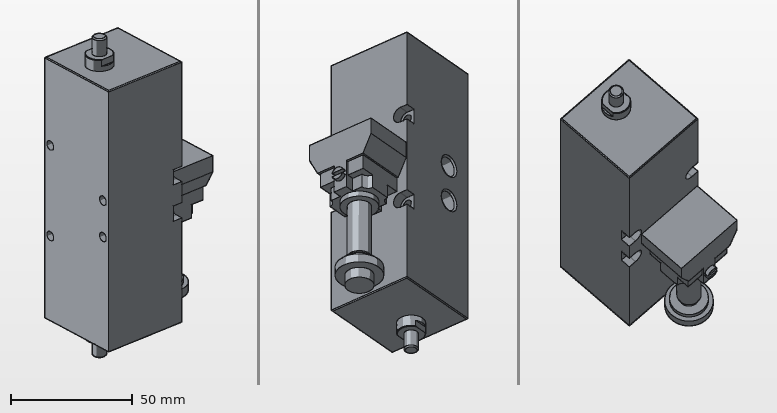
import cadquery as cq

OVERALL_HEIGHT = 148.0
BLOCK_WIDTH = 40.0
BLOCK_HEIGHT = 121.4
BLOCK_CHAMFER = 0.5
BACK_Y = BLOCK_WIDTH / 2
LEFT_X = -BLOCK_WIDTH / 2

STUD_Y = -7.5
STUD_DIAMETER = 6.0
STUD_CHAMFER = 0.6
COLLAR_DIAMETER = 12.0
COLLAR_HEIGHT = 5.3
COLLAR_CHAMFER = 0.3
FLATS_WIDTH = 10.0
FLATS_HEIGHT = 3.0

MOUNT_DIAMETER = 4.1
MOUNT_X = 16.5
MOUNT_Z_LEFT = 21.0
MOUNT_Z_RIGHT = 8.5
SLOT_WIDTH = 7.1
SLOT_DEPTH = 4.6

PORT_Y = STUD_Y
PORT_Z = 8.5
PORT_DIAMETER = 8.6
PORT_MOUTH_DIAMETER = 10.0
PORT_DEPTH = 11.8

ACTUATOR_LEFT_X = -19.5
ACTUATOR_WIDTH = 32.4
ACTUATOR_X = ACTUATOR_LEFT_X + ACTUATOR_WIDTH / 2
ACTUATOR_DEPTH = 23.1
ACTUATOR_BACK_Y = BACK_Y + ACTUATOR_DEPTH

ACTUATOR_TOP_Z = 6.0
SLOPE_TOP_Z = -1.5
SLOPE_BOTTOM_Z = -9.5
NECK_BLOCK_BOTTOM_Z = -16.1
ACTUATOR_BOTTOM_Z = -22.3

SLOPE_END_WIDTH = 24.0
NECK_BLOCK_WIDTH = 22.5
NECK_BLOCK_SETBACK = 1.0
CORE_WIDTH = 6.5
SCOOP_RADIUS = 3.1

PLUNGER_X = -3.7
PLUNGER_Y = 31.0
FLANGE_DIAMETER = 16.0
ROD_DIAMETER = 10.0
GROOVE_DIAMETER = 8.0
DISC_DIAMETER = 20.0
KNOB_DIAMETER = 12.0
PLUNGER_STEPS = [
    (FLANGE_DIAMETER, -24.9),
    (ROD_DIAMETER, -49.7),
    (GROOVE_DIAMETER, -52.7),
    (FLANGE_DIAMETER, -54.6),
    (DISC_DIAMETER, -58.6),
    (KNOB_DIAMETER, -63.5),
]

SCREW_DIAMETER = 5.6
SCREW_PROTRUSION = 1.9
SCREW_SLOT_WIDTH = 1.6
SCREW_Z = -15.2


def cylinder(diameter, length, base, direction):
    """Cylinder that starts at base and runs along direction."""
    solid = cq.Solid.makeCylinder(diameter / 2, length, cq.Vector(*base), cq.Vector(*direction))
    return cq.Workplane(solid)


def box(x_range, y_range, z_range):
    """Axis-aligned box between the given coordinate pairs."""
    (x0, x1), (y0, y1), (z0, z1) = x_range, y_range, z_range
    return cq.Workplane(cq.Solid.makeBox(x1 - x0, y1 - y0, z1 - z0, cq.Vector(x0, y0, z0)))


def end_stud():
    """Stud and flatted collar standing on the top face of the block."""
    base_z = BLOCK_HEIGHT / 2
    collar_top_z = base_z + COLLAR_HEIGHT
    collar = cylinder(COLLAR_DIAMETER, COLLAR_HEIGHT, (0, STUD_Y, base_z), (0, 0, 1))
    collar = collar.faces(">Z").chamfer(COLLAR_CHAMFER)
    flats_z = (collar_top_z - FLATS_HEIGHT, collar_top_z)
    collar_y = (STUD_Y - COLLAR_DIAMETER / 2, STUD_Y + COLLAR_DIAMETER / 2)
    for x_range in (
        (-COLLAR_DIAMETER / 2, -FLATS_WIDTH / 2),
        (FLATS_WIDTH / 2, COLLAR_DIAMETER / 2),
    ):
        collar = collar.cut(box(x_range, collar_y, flats_z))
    stud_length = (OVERALL_HEIGHT - BLOCK_HEIGHT) / 2
    stud = cylinder(STUD_DIAMETER, stud_length, (0, STUD_Y, base_z), (0, 0, 1))
    stud = stud.faces(">Z").chamfer(STUD_CHAMFER)
    return collar.union(stud)


def mounting_hole(side, z):
    """Through hole along Y with a round-ended slot at the back, open to the given X side."""
    x = side * MOUNT_X
    slot_floor_y = BACK_Y - SLOT_DEPTH
    hole = cylinder(MOUNT_DIAMETER, BLOCK_WIDTH, (x, -BACK_Y, z), (0, 1, 0))
    slot_end = cylinder(SLOT_WIDTH, SLOT_DEPTH, (x, slot_floor_y, z), (0, 1, 0))
    slot_mouth = box(
        sorted((x, side * BLOCK_WIDTH / 2)),
        (slot_floor_y, BACK_Y),
        (z - SLOT_WIDTH / 2, z + SLOT_WIDTH / 2),
    )
    return hole.union(slot_end).union(slot_mouth)


def port(z):
    """Blind port with a 45-degree chamfered mouth in the left side of the block."""
    bore_radius = PORT_DIAMETER / 2
    mouth_radius = PORT_MOUTH_DIAMETER / 2
    chamfer = mouth_radius - bore_radius
    bore = cylinder(PORT_DIAMETER, PORT_DEPTH, (LEFT_X, PORT_Y, z), (1, 0, 0))
    mouth = cq.Solid.makeCone(
        mouth_radius, bore_radius, chamfer, cq.Vector(LEFT_X, PORT_Y, z), cq.Vector(1, 0, 0)
    )
    return bore.union(cq.Workplane(mouth))


def make_valve_block():
    block = cq.Workplane().box(BLOCK_WIDTH, BLOCK_WIDTH, BLOCK_HEIGHT)
    block = block.faces("<Z or >Z").chamfer(BLOCK_CHAMFER)
    stud = end_stud()
    block = block.union(stud).union(stud.mirror("XY"))
    for side, hole_z in ((-1, MOUNT_Z_LEFT), (1, MOUNT_Z_RIGHT)):
        for z in (-hole_z, hole_z):
            block = block.cut(mounting_hole(side, z))
    for z in (-PORT_Z, PORT_Z):
        block = block.cut(port(z))
    return block


def actuator_head():
    """Upper housing: a block whose sides slope in to a narrower underside."""
    half_top = ACTUATOR_WIDTH / 2
    half_end = SLOPE_END_WIDTH / 2
    outline = [
        (-half_top, ACTUATOR_TOP_Z),
        (half_top, ACTUATOR_TOP_Z),
        (half_top, SLOPE_TOP_Z),
        (half_end, SLOPE_BOTTOM_Z),
        (-half_end, SLOPE_BOTTOM_Z),
        (-half_top, SLOPE_TOP_Z),
    ]
    back_plane = cq.Workplane("XZ", origin=(ACTUATOR_X, ACTUATOR_BACK_Y, 0))
    return back_plane.polyline(outline).close().extrude(ACTUATOR_DEPTH)


def centred_box(width, y_range, z_range):
    """Box centred on the actuator in X."""
    return box((ACTUATOR_X - width / 2, ACTUATOR_X + width / 2), y_range, z_range)


def plunger_boss():
    """Block above the plunger whose four upright corners are scooped away by cylinders."""
    front_y = PLUNGER_Y - FLANGE_DIAMETER / 2
    back_y = PLUNGER_Y + FLANGE_DIAMETER / 2
    height = NECK_BLOCK_BOTTOM_Z - ACTUATOR_BOTTOM_Z
    boss = centred_box(NECK_BLOCK_WIDTH, (front_y, back_y), (ACTUATOR_BOTTOM_Z, NECK_BLOCK_BOTTOM_Z))
    for x in (ACTUATOR_X - NECK_BLOCK_WIDTH / 2, ACTUATOR_X + NECK_BLOCK_WIDTH / 2):
        for y in (front_y, back_y):
            boss = boss.cut(cylinder(2 * SCOOP_RADIUS, height, (x, y, ACTUATOR_BOTTOM_Z), (0, 0, 1)))
    return boss


def plunger():
    """Stack of coaxial cylinders hanging below the housing."""
    stack = cq.Workplane()
    top_z = ACTUATOR_BOTTOM_Z
    for diameter, bottom_z in PLUNGER_STEPS:
        base = (PLUNGER_X, PLUNGER_Y, bottom_z)
        stack = stack.union(cylinder(diameter, top_z - bottom_z, base, (0, 0, 1)))
        top_z = bottom_z
    return stack


def override_screw():
    """Screw head on the back of the housing with a horizontal driver slot."""
    base = (ACTUATOR_X, ACTUATOR_BACK_Y, SCREW_Z)
    head = cylinder(SCREW_DIAMETER, SCREW_PROTRUSION, base, (0, 1, 0))
    driver_slot = centred_box(
        SCREW_DIAMETER,
        (ACTUATOR_BACK_Y, ACTUATOR_BACK_Y + SCREW_PROTRUSION),
        (SCREW_Z - SCREW_SLOT_WIDTH / 2, SCREW_Z + SCREW_SLOT_WIDTH / 2),
    )
    return head.cut(driver_slot)


def make_actuator():
    core = centred_box(CORE_WIDTH, (BACK_Y, ACTUATOR_BACK_Y), (ACTUATOR_BOTTOM_Z, SLOPE_BOTTOM_Z))
    neck_block = centred_box(
        NECK_BLOCK_WIDTH,
        (BACK_Y, ACTUATOR_BACK_Y - NECK_BLOCK_SETBACK),
        (NECK_BLOCK_BOTTOM_Z, SLOPE_BOTTOM_Z),
    )
    housing = actuator_head().union(core).union(neck_block).union(plunger_boss())
    return housing.union(plunger()).union(override_screw())


valve_block = make_valve_block()
actuator = make_actuator()

result = cq.Compound.makeCompound([valve_block.val(), actuator.val()])